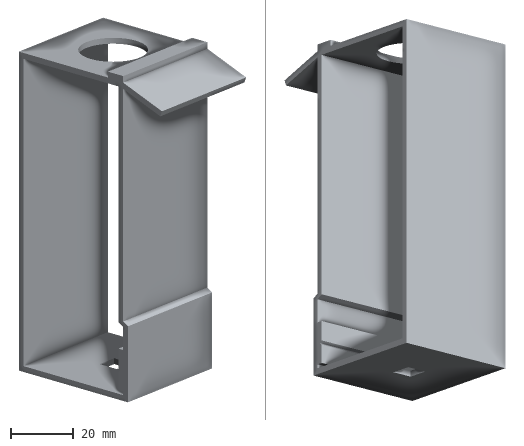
import cadquery as cq
import math

height = 109.8
depth = 41.3
length = 59.6
wall = 2.0

door_outer = 43.5
door_inner = door_outer - wall
case_outer = door_outer + wall

roof_top = height - wall
roof_bottom = roof_top - wall
lip_angle = 20.0
lip_bend = 42.8

catch_low = 10.0
catch_high = 11.7
catch_offset = 1.0
tab_top = 17.2

door_step_low = 25.7
door_step_high = 26.9
door_step_offset = 0.8

stop_strip_start = 37.1
foot_strip_bottom = 3.3
foot_strip_shoulder = 9.3

round_hole_diameter = 22.2
square_hole_side = 7.1

lip_slope = math.tan(math.radians(lip_angle))
lip_bend_under = lip_bend - wall * math.tan(math.radians(lip_angle / 2))


def lip_top_level(x):
    """Height of the upper face of the sloping lip at x."""
    return roof_top - (x - lip_bend) * lip_slope


def lip_under_level(x):
    """Height of the lower face of the sloping lip at x."""
    return roof_bottom - (x - lip_bend_under) * lip_slope


def extrude_profile(points):
    """Extrude an XZ outline over the full depth, centred on Y = 0."""
    return cq.Workplane("XZ").polyline(points).close().extrude(depth / 2, both=True)


def make_case():
    """Back wall, floor, catch wall and roof with its lip, bent from one sheet."""
    lip_tip_under = length - wall * math.sin(math.radians(lip_angle))
    profile = [
        (0, 0),
        (case_outer, 0),
        (case_outer, catch_low),
        (door_outer, catch_high),
        (door_outer, tab_top),
        (door_inner, tab_top),
        (door_inner, catch_high - catch_offset),
        (door_outer, catch_low - catch_offset),
        (door_outer, wall),
        (wall, wall),
        (wall, roof_bottom),
        (lip_bend_under, roof_bottom),
        (lip_tip_under, lip_under_level(lip_tip_under)),
        (length, lip_top_level(length)),
        (lip_bend, roof_top),
        (0, roof_top),
    ]
    round_hole = (
        cq.Workplane("XY", origin=(door_outer / 2, 0, roof_bottom))
        .circle(round_hole_diameter / 2)
        .extrude(wall)
    )
    square_hole = (
        cq.Workplane("XY", origin=(case_outer / 2, 0, 0))
        .rect(square_hole_side, square_hole_side)
        .extrude(wall)
    )
    return extrude_profile(profile).cut(round_hole).cut(square_hole)


def make_door():
    """Front panel hanging under the roof and stepping out over the catch tab."""
    return extrude_profile([
        (case_outer, catch_low),
        (case_outer, door_step_low),
        (door_outer, door_step_high),
        (door_outer, lip_under_level(door_outer)),
        (lip_bend_under, roof_bottom),
        (door_inner, roof_bottom),
        (door_inner, door_step_high - door_step_offset),
        (door_outer, door_step_low - door_step_offset),
        (door_outer, catch_high),
    ])


def make_stop_strip():
    """Bar on the roof whose front edge reaches down onto the lip."""
    return extrude_profile([
        (stop_strip_start, roof_top),
        (lip_bend, roof_top),
        (door_outer, lip_top_level(door_outer)),
        (door_outer, height),
        (stop_strip_start, height),
    ])


def make_foot_strip():
    """Bar inside the catch wall, with a ridge top that fits under the step."""
    step_foot = catch_low - catch_offset
    step_head = catch_high - catch_offset
    step_slope = (catch_high - catch_low) / wall
    ridge_level = (step_head + foot_strip_shoulder) / 2
    ridge_x = door_inner + (step_head - ridge_level) / step_slope
    return extrude_profile([
        (door_inner, foot_strip_bottom),
        (door_outer, foot_strip_bottom),
        (door_outer, step_foot),
        (ridge_x, ridge_level),
        (door_inner, foot_strip_shoulder),
    ])


case = make_case()
door = make_door()
stop_strip = make_stop_strip()
foot_strip = make_foot_strip()

result = cq.Compound.makeCompound([
    case.val(),
    door.val(),
    stop_strip.val(),
    foot_strip.val(),
])